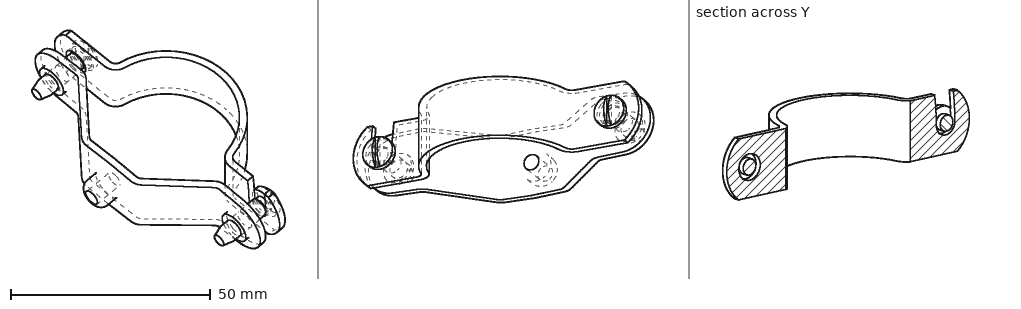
import cadquery as cq
import math


overall_depth = 47.0
half_length = 39.5
thickness = 2.0
screw_x = 32.0
ear_gap = 5.0

pipe_strap_half_width = 8.0
pipe_outer_radius = 20.4
pipe_inner_radius = pipe_outer_radius - thickness
arch_top = 20.0
arch_center = (0, arch_top - pipe_outer_radius)
pipe_bend_radius = 2.0
pipe_ear_flat_end = 35.55

base_half_width_middle = 9.0
base_ear_radius = 8.0
base_bend_radius = 2.0
base_bend_outer_radius = base_bend_radius + thickness
base_ear_back = -ear_gap
base_ear_front = base_ear_back - thickness
base_front = -20.9
base_back = base_front + thickness
upper_bend_x = 25.2
lower_bend_x = 7.8

boss_radius = 4.0
boss_end = arch_top - overall_depth
boss_root_fillet = 0.95
boss_bore_radius = 2.05
boss_end_round = boss_radius - boss_bore_radius

collar_radius = 4.2
collar_height = 1.7
collar_root_fillet = 0.4

shank_radius = 2.45
neck_radius = 2.1
neck_length = 1.6
head_radius = 4.1
head_rim_height = 1.6
dome_height = 1.7
driver_slot_width = 1.3
cone_start = -11.2
screw_tip = -14.1
tip_radius = 1.65
head_seat = thickness

pivot_hole_radius = 3.4
release_slot_half_width = 2.9
release_slot_radius = 63.7
release_slot_angle = math.radians(15)


def polar(center, radius, angle):
    """Point at the given radius and angle (radians) from a centre."""
    return (center[0] + radius * math.cos(angle), center[1] + radius * math.sin(angle))


def extrude_across(profile, half_width):
    """Extrude an XY profile symmetrically along Z."""
    return profile.extrude(half_width, both=True)


def plate_along_y(outline):
    """Extrude an XZ outline far enough along Y to cover the whole clamp."""
    return outline.extrude(2 * half_length, both=True)


def revolve_about_y(profile, x):
    """Revolve a half profile (radius, Y) about the Y direction and place it at X = x."""
    return profile.close().revolve(360, (0, 0, 0), (0, 1, 0)).translate((x, 0, 0))


def cylinder_along_y(x, radius, y_from, y_to):
    return cq.Workplane("XZ", origin=(x, y_from, 0)).circle(radius).extrude(y_from - y_to)


def make_screw(x):
    rim_top = head_seat + head_rim_height
    dome_top = rim_top + dome_height
    dome_sphere_radius = (head_radius**2 + dome_height**2) / (2 * dome_height)
    half_dome_angle = math.asin(head_radius / dome_sphere_radius) / 2
    dome_mid = polar((0, dome_top - dome_sphere_radius), dome_sphere_radius, math.pi / 2 - half_dome_angle)
    neck_end = head_seat - neck_length
    profile = (
        cq.Workplane("XY")
        .moveTo(0, screw_tip)
        .lineTo(tip_radius, screw_tip)
        .lineTo(shank_radius, cone_start)
        .lineTo(shank_radius, neck_end)
        .lineTo(neck_radius, neck_end)
        .lineTo(neck_radius, head_seat)
        .lineTo(head_radius, head_seat)
        .lineTo(head_radius, rim_top)
        .threePointArc(dome_mid, (0, dome_top))
    )
    driver_slot = cq.Workplane("XY").box(driver_slot_width, dome_height, 2 * head_radius)
    return revolve_about_y(profile, x).cut(driver_slot.translate((x, rim_top + dome_height / 2, 0)))


def pipe_strap_profile():
    """Left half of the strap; the bend is tangent to the ear and to the arch."""
    bend_y = thickness + pipe_bend_radius
    bend_rise = bend_y - arch_center[1]
    bend_x = math.sqrt((pipe_outer_radius + pipe_bend_radius) ** 2 - bend_rise**2)
    bend = (-bend_x, bend_y)
    bend_outer_radius = pipe_bend_radius + thickness
    toward_arch = -math.atan2(bend_rise, bend_x)
    bend_mid = (toward_arch - math.pi / 2) / 2
    return (
        cq.Workplane("XY")
        .moveTo(0, arch_top - thickness)
        .threePointArc(
            polar(arch_center, pipe_inner_radius, 3 * math.pi / 4),
            polar(bend, bend_outer_radius, toward_arch),
        )
        .threePointArc(polar(bend, bend_outer_radius, bend_mid), (-bend_x, 0))
        .lineTo(-half_length, 0)
        .lineTo(-half_length, thickness)
        .lineTo(-bend_x, thickness)
        .threePointArc(
            polar(bend, pipe_bend_radius, bend_mid),
            polar(bend, pipe_bend_radius, toward_arch),
        )
        .threePointArc(polar(arch_center, pipe_outer_radius, 3 * math.pi / 4), (0, arch_top))
        .close()
    )


def pipe_strap_outline():
    """Straight-sided strip with shallow rounded tips."""
    return (
        cq.Workplane("XZ")
        .moveTo(-pipe_ear_flat_end, pipe_strap_half_width)
        .lineTo(pipe_ear_flat_end, pipe_strap_half_width)
        .threePointArc((half_length, 0), (pipe_ear_flat_end, -pipe_strap_half_width))
        .lineTo(-pipe_ear_flat_end, -pipe_strap_half_width)
        .threePointArc((-half_length, 0), (-pipe_ear_flat_end, pipe_strap_half_width))
        .close()
    )


def release_slot_outline():
    """Arc-shaped slot about the left screw, round at the right screw and open at the top edge."""
    pivot = (-screw_x, 0)
    inner_radius = release_slot_radius - release_slot_half_width
    outer_radius = release_slot_radius + release_slot_half_width
    half_angle = release_slot_angle / 2
    return (
        cq.Workplane("XZ")
        .moveTo(*polar(pivot, inner_radius, 0))
        .threePointArc(
            polar(pivot, inner_radius, half_angle),
            polar(pivot, inner_radius, release_slot_angle),
        )
        .lineTo(*polar(pivot, outer_radius, release_slot_angle))
        .threePointArc(polar(pivot, outer_radius, half_angle), polar(pivot, outer_radius, 0))
        .threePointArc(
            (release_slot_radius - screw_x, -release_slot_half_width),
            polar(pivot, inner_radius, 0),
        )
        .close()
    )


def make_pipe_strap():
    half = extrude_across(pipe_strap_profile(), pipe_strap_half_width)
    strap = half.union(half.mirror("YZ")).intersect(plate_along_y(pipe_strap_outline()))
    strap = strap.cut(cylinder_along_y(-screw_x, pivot_hole_radius, 0, thickness))
    return strap.cut(release_slot_outline().extrude(-thickness))


def base_strap_profile():
    """Left half of the folded strap: ear, sloping panel and half of the middle panel."""
    upper_bend = (-upper_bend_x, base_ear_front - base_bend_radius)
    lower_bend = (-lower_bend_x, base_back + base_bend_radius)
    run = upper_bend_x - lower_bend_x
    drop = upper_bend[1] - lower_bend[1]
    bend_radii = base_bend_radius + base_bend_outer_radius
    slope = math.atan2(drop, run) + math.asin(bend_radii / math.hypot(run, drop))
    upper_end = math.pi / 2 - slope
    upper_mid = math.pi / 2 - slope / 2
    lower_end = -math.pi / 2 - slope
    lower_mid = -math.pi / 2 - slope / 2
    return (
        cq.Workplane("XY")
        .moveTo(0, base_front)
        .lineTo(-lower_bend_x, base_front)
        .threePointArc(
            polar(lower_bend, base_bend_outer_radius, lower_mid),
            polar(lower_bend, base_bend_outer_radius, lower_end),
        )
        .lineTo(*polar(upper_bend, base_bend_radius, upper_end))
        .threePointArc(
            polar(upper_bend, base_bend_radius, upper_mid),
            (-upper_bend_x, base_ear_front),
        )
        .lineTo(-half_length, base_ear_front)
        .lineTo(-half_length, base_ear_back)
        .lineTo(-upper_bend_x, base_ear_back)
        .threePointArc(
            polar(upper_bend, base_bend_outer_radius, upper_mid),
            polar(upper_bend, base_bend_outer_radius, upper_end),
        )
        .lineTo(*polar(lower_bend, base_bend_radius, lower_end))
        .threePointArc(
            polar(lower_bend, base_bend_radius, lower_mid),
            (-lower_bend_x, base_back),
        )
        .lineTo(0, base_back)
        .close()
    )


def base_strap_outline():
    """Strip that tapers from X = 0 to edges tangent to the round ear tips."""
    ear_x = half_length - base_ear_radius
    reach = math.hypot(ear_x, base_half_width_middle)
    tangent_angle = math.atan2(base_half_width_middle, ear_x) + math.acos(base_ear_radius / reach)
    tangent_x, tangent_z = polar((ear_x, 0), base_ear_radius, math.pi - tangent_angle)
    return (
        cq.Workplane("XZ")
        .moveTo(0, base_half_width_middle)
        .lineTo(tangent_x, tangent_z)
        .threePointArc((half_length, 0), (tangent_x, -tangent_z))
        .lineTo(0, -base_half_width_middle)
        .lineTo(-tangent_x, -tangent_z)
        .threePointArc((-half_length, 0), (-tangent_x, tangent_z))
        .close()
    )


def root_arc_mid(radius, face_y, fillet):
    """Middle point of a root fillet between a face and a post of the given radius."""
    return polar((radius + fillet, face_y - fillet), fillet, 3 * math.pi / 4)


def make_collar(x):
    profile = (
        cq.Workplane("XY")
        .moveTo(0, base_ear_front)
        .lineTo(collar_radius + collar_root_fillet, base_ear_front)
        .threePointArc(
            root_arc_mid(collar_radius, base_ear_front, collar_root_fillet),
            (collar_radius, base_ear_front - collar_root_fillet),
        )
        .lineTo(collar_radius, base_ear_front - collar_height)
        .lineTo(0, base_ear_front - collar_height)
    )
    return revolve_about_y(profile, x)


def make_boss():
    round_center = (boss_bore_radius, boss_end + boss_end_round)
    profile = (
        cq.Workplane("XY")
        .moveTo(0, base_front)
        .lineTo(boss_radius + boss_root_fillet, base_front)
        .threePointArc(
            root_arc_mid(boss_radius, base_front, boss_root_fillet),
            (boss_radius, base_front - boss_root_fillet),
        )
        .lineTo(boss_radius, boss_end + boss_end_round)
        .threePointArc(
            polar(round_center, boss_end_round, -math.pi / 4),
            (boss_bore_radius, boss_end),
        )
        .lineTo(0, boss_end)
    )
    return revolve_about_y(profile, 0)


def make_base_strap():
    half = extrude_across(base_strap_profile(), base_half_width_middle)
    strap = half.union(half.mirror("YZ")).intersect(plate_along_y(base_strap_outline()))
    strap = strap.union(make_boss())
    strap = strap.cut(cylinder_along_y(0, boss_bore_radius, boss_end, base_back))
    collar_end = base_ear_front - collar_height
    for x in (-screw_x, screw_x):
        strap = strap.union(make_collar(x))
        strap = strap.cut(cylinder_along_y(x, shank_radius, collar_end, base_ear_back))
    return strap


screws = [make_screw(x) for x in (-screw_x, screw_x)]
pipe_strap = make_pipe_strap()
base_strap = make_base_strap()

result = cq.Compound.makeCompound([
    pipe_strap.val(),
    base_strap.val(),
    *[screw.val() for screw in screws],
])